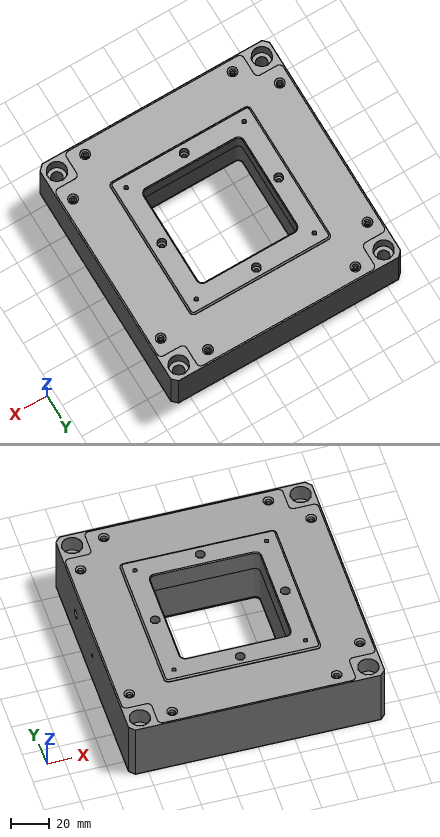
import cadquery as cq
import math

SIDE = 140.0
HOUSING_HEIGHT = 35.3
CORNER_CHAMFER = 3.0
WINDOW_SIDE = 60.0
WINDOW_RADIUS = 3.0

PLATE_THICKNESS = 1.0
PLATE_INSET = 0.8
PLATE_SIDE = SIDE - 2 * PLATE_INSET
NOTCH_EDGE = 54.0
NOTCH_RADIUS = 2.5

STAGE_SIDE = 85.5
STAGE_RADIUS = 2.5
STAGE_RISE = 0.7
STAGE_CHAMFER = 1.0
STAGE_SEAT_Z = 23.4
STAGE_TOP_Z = HOUSING_HEIGHT + STAGE_RISE
STAGE_HEIGHT = STAGE_TOP_Z - STAGE_SEAT_Z
WINDOW_CHAMFER = 0.5

STAGE_BOLT_X = 35.5
STAGE_BOLT_Y = 37.0
STAGE_BOLT_DIAMETER = 2.7
STAGE_BORE_DIAMETER = 5.0
STAGE_BORE_DEPTH = 5.6
PIN_HOLE_OFFSET = 36.0
PIN_HOLE_DIAMETER = 2.2
PIN_HOLE_DEPTH = 5.6

MOUNT_OFFSET = 62.5
MOUNT_DIAMETER = 6.6
MOUNT_BORE_DIAMETER = 11.0
MOUNT_BORE_DEPTH = 9.8

SCREW_NEAR = 45.0
SCREW_FAR = 63.0
SCREW_HEAD_DIAMETER = 5.6
SCREW_HOLE_DIAMETER = 2.2
SCREW_HOLE_DEPTH = 7.0

SIDE_HOLE_Z = 18.5
PORT_Y = 30.1
PORT_DIAMETER = 4.9
PORT_DEPTH = 7.0
PILOT_DIAMETER = 1.7
PILOT_DEPTH = 5.6

DRILL_POINT_ANGLE = 118.0


def square_prism(side, radius, bottom_z, height):
    """Upright square prism with rounded vertical edges."""
    prism = cq.Workplane("XY", origin=(0, 0, bottom_z)).rect(side, side).extrude(height)
    return prism.edges("|Z").fillet(radius)


def four_corners(offset):
    return [(sx * offset, sy * offset) for sx in (-1, 1) for sy in (-1, 1)]


def cylinder_down(diameter, depth, points, top_z):
    return cq.Workplane("XY", origin=(0, 0, top_z)).pushPoints(points).circle(diameter / 2).extrude(-depth)


def drilled_profile(diameter, depth):
    """Half section of a blind hole with a drill point, as (radius, height), opening upward at height 0."""
    radius = diameter / 2
    tip_depth = depth + radius / math.tan(math.radians(DRILL_POINT_ANGLE / 2))
    return [(0, 0), (radius, 0), (radius, -depth), (0, -tip_depth)]


def revolved(profile):
    """Solid of revolution about Z from (radius, height) points."""
    return cq.Workplane("XZ").polyline(profile).close().revolve(360, (0, 0), (0, 1))


def copies(tool, points, z):
    """The tool repeated at each XY point, ready for one cut."""
    placed = cq.Workplane("XY")
    for x, y in points:
        placed = placed.add(tool.translate((x, y, z)))
    return placed.combine()


def cross_plate(bottom_z):
    """Plate with a rounded notch at each corner; both the inner and outer notch corners are rounded."""
    x_bar = cq.Workplane("XY", origin=(0, 0, bottom_z)).rect(PLATE_SIDE, 2 * NOTCH_EDGE)
    y_bar = cq.Workplane("XY", origin=(0, 0, bottom_z)).rect(2 * NOTCH_EDGE, PLATE_SIDE)
    plate = x_bar.extrude(PLATE_THICKNESS).union(y_bar.extrude(PLATE_THICKNESS))
    return plate.edges("|Z").fillet(NOTCH_RADIUS)


def screw_points():
    """Two cover screws beside each corner notch."""
    points = []
    for sign_x, sign_y in four_corners(1):
        points.append((sign_x * SCREW_NEAR, sign_y * SCREW_FAR))
        points.append((sign_x * SCREW_FAR, sign_y * SCREW_NEAR))
    return points


def screw_holes():
    """Countersunk blind holes, cut from both the cover and the housing."""
    head_radius = SCREW_HEAD_DIAMETER / 2
    hole_radius = SCREW_HOLE_DIAMETER / 2
    sink_depth = head_radius - hole_radius
    profile = [
        (0, 0),
        (head_radius, 0),
        (hole_radius, -sink_depth),
        (hole_radius, -SCREW_HOLE_DEPTH),
        (0, -SCREW_HOLE_DEPTH),
    ]
    return copies(revolved(profile), screw_points(), HOUSING_HEIGHT)


def side_holes():
    """Flat-bottomed port and small drilled pilot, both entering along +X."""
    port = cq.Workplane("YZ", origin=(-SIDE / 2, PORT_Y, SIDE_HOLE_Z)).circle(PORT_DIAMETER / 2)
    pilot = revolved(drilled_profile(PILOT_DIAMETER, PILOT_DEPTH))
    pilot = pilot.rotate((0, 0, 0), (0, 1, 0), -90).translate((-SIDE / 2, 0, SIDE_HOLE_Z))
    return port.extrude(PORT_DEPTH).union(pilot)


def window():
    return square_prism(WINDOW_SIDE, WINDOW_RADIUS, 0, STAGE_TOP_Z)


def stage_seat():
    return square_prism(STAGE_SIDE, STAGE_RADIUS, STAGE_SEAT_Z, STAGE_HEIGHT)


def make_housing():
    body = cq.Workplane("XY").rect(SIDE, SIDE).extrude(HOUSING_HEIGHT)
    body = body.edges("|Z").chamfer(CORNER_CHAMFER)
    body = body.cut(cross_plate(0)).cut(cross_plate(HOUSING_HEIGHT - PLATE_THICKNESS))
    body = body.cut(stage_seat()).cut(window())
    mounts = four_corners(MOUNT_OFFSET)
    body = body.cut(cylinder_down(MOUNT_DIAMETER, HOUSING_HEIGHT, mounts, HOUSING_HEIGHT))
    body = body.cut(cylinder_down(MOUNT_BORE_DIAMETER, MOUNT_BORE_DEPTH, mounts, HOUSING_HEIGHT))
    return body.cut(screw_holes()).cut(side_holes())


def make_cover():
    plate = cross_plate(HOUSING_HEIGHT - PLATE_THICKNESS)
    return plate.cut(stage_seat()).cut(screw_holes())


def make_base_plate():
    return cross_plate(0).cut(window())


def make_stage():
    body = stage_seat().faces(">Z").chamfer(STAGE_CHAMFER)
    body = body.cut(window())
    window_reach = WINDOW_SIDE / 2 + WINDOW_CHAMFER
    rim_box = cq.selectors.BoxSelector(
        (-window_reach, -window_reach, STAGE_TOP_Z - WINDOW_CHAMFER),
        (window_reach, window_reach, STAGE_TOP_Z + WINDOW_CHAMFER),
    )
    body = body.edges(rim_box).chamfer(WINDOW_CHAMFER)
    bolts = [(STAGE_BOLT_X, 0), (-STAGE_BOLT_X, 0), (0, STAGE_BOLT_Y), (0, -STAGE_BOLT_Y)]
    body = body.cut(cylinder_down(STAGE_BOLT_DIAMETER, STAGE_HEIGHT, bolts, STAGE_TOP_Z))
    body = body.cut(cylinder_down(STAGE_BORE_DIAMETER, STAGE_BORE_DEPTH, bolts, STAGE_TOP_Z))
    pin_hole = revolved(drilled_profile(PIN_HOLE_DIAMETER, PIN_HOLE_DEPTH))
    return body.cut(copies(pin_hole, four_corners(PIN_HOLE_OFFSET), STAGE_TOP_Z))


housing = make_housing()
cover = make_cover()
base_plate = make_base_plate()
stage = make_stage()

result = cq.Compound.makeCompound([housing.val(), cover.val(), base_plate.val(), stage.val()])